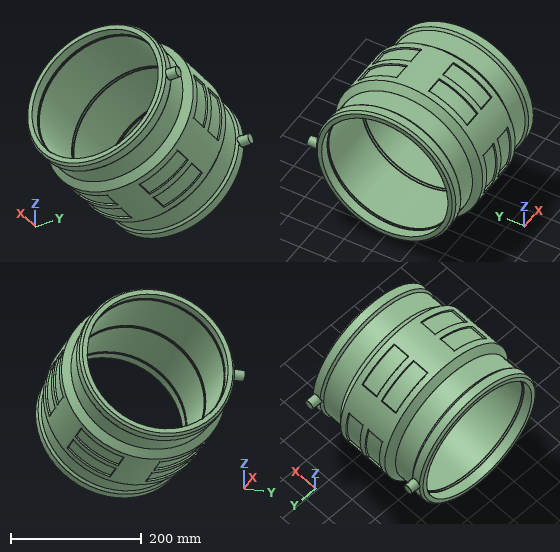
import cadquery as cq

length = 240.0
body_radius = 120.5
bore_radius = 112.5

band_diameter = 264.0
band_radius = band_diameter / 2
band_half_width = 48.3
shoulder_length = band_radius - body_radius

collar_radius = 124.2
collar_width = 23.0
collar_chamfer_length = 4.0

stop_radius = 111.5
stop_half_width = 2.5

groove_radius = 113.5
groove_width = 3.5
groove_setback = 17.7

pad_count = 6
pad_angle = 35.0
pad_depth = 3.0
pad_length = 31.0
pad_gap = 11.0

pin_tip_radius = 8.5
pin_base_radius = 9.3
overall_depth = 273
pin_tip = overall_depth - band_radius
pin_offset = 107.8

half_length = length / 2
wall_middle_radius = (bore_radius + body_radius) / 2


def make_sleeve():
    """Revolve the stepped outline together with its bore, rib and grooves."""
    collar_inner = half_length - collar_width
    groove_outer = half_length - groove_setback
    groove_inner = groove_outer - groove_width
    right_side = [
        (band_half_width, band_radius),
        (band_half_width + shoulder_length, body_radius),
        (collar_inner, body_radius),
        (collar_inner + collar_chamfer_length, collar_radius),
        (half_length - collar_chamfer_length, collar_radius),
        (half_length, body_radius),
        (half_length, bore_radius),
        (groove_outer, bore_radius),
        (groove_outer, groove_radius),
        (groove_inner, groove_radius),
        (groove_inner, bore_radius),
        (stop_half_width, bore_radius),
        (stop_half_width, stop_radius),
    ]
    left_side = [(-x, radius) for x, radius in reversed(right_side)]
    outline = cq.Workplane("XY").polyline(right_side + left_side).close()
    return outline.revolve(360, (0, 0, 0), (1, 0, 0))


def make_pad_cutter(start_x, middle_angle):
    """Ring sector that sinks one pad; angles are measured from +Y about X."""
    floor_radius = band_radius - pad_depth
    clear_radius = band_radius + pad_depth
    section = (
        cq.Workplane("XY")
        .moveTo(start_x, floor_radius)
        .lineTo(start_x + pad_length, floor_radius)
        .lineTo(start_x + pad_length, clear_radius)
        .lineTo(start_x, clear_radius)
        .close()
    )
    sector = section.revolve(pad_angle, (0, 0, 0), (1, 0, 0))
    return sector.rotate((0, 0, 0), (1, 0, 0), middle_angle - pad_angle / 2)


def make_pin(x):
    """Slightly tapered pin rooted inside the sleeve wall."""
    height = pin_tip - wall_middle_radius
    root = cq.Vector(x, wall_middle_radius, 0)
    direction = cq.Vector(0, 1, 0)
    cone = cq.Solid.makeCone(pin_base_radius, pin_tip_radius, height, root, direction)
    return cq.Workplane(cone)


result = make_sleeve()

for pad_index in range(pad_count):
    for pad_start in (pad_gap / 2, -pad_gap / 2 - pad_length):
        result = result.cut(make_pad_cutter(pad_start, pad_index * 360 / pad_count))

for pin_x in (-pin_offset, pin_offset):
    result = result.union(make_pin(pin_x))